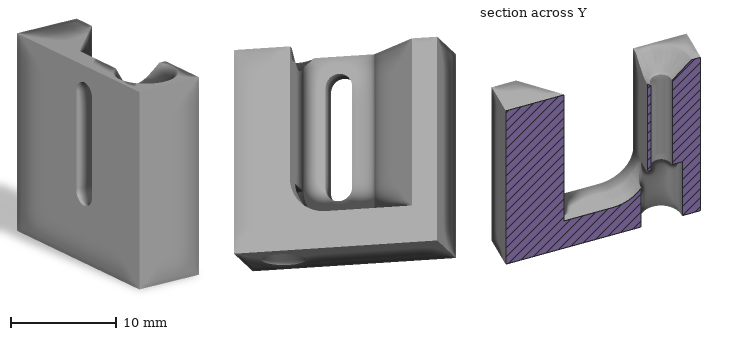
import cadquery as cq

side = 20.0
thickness = 7.0

pocket_front = 2.0
pocket_slope_start = 2.5
pocket_depth = thickness - pocket_front
pocket_slope_end = pocket_slope_start + pocket_depth
pocket_right = 14.5
corner_radius = 3.5

slot_x = pocket_right - corner_radius
slot_width = 2.6
slot_low_center = 7.1
slot_high_center = 17.0
pocket_floor = slot_low_center - corner_radius

hole_x = 16.0
hole_y = 3.6
hole_radius = 1.05
sink_radius = 3.05
sink_depth = sink_radius - hole_radius
bore_radius = 2.1
bore_depth = 7.0


def make_pocket():
    height = side - pocket_floor
    plan = (
        cq.Workplane("XY", origin=(0, 0, pocket_floor))
        .moveTo(pocket_slope_start, thickness)
        .lineTo(pocket_slope_end, pocket_front)
        .lineTo(pocket_right, pocket_front)
        .lineTo(pocket_right, thickness)
        .close()
        .extrude(height)
    )
    return plan.edges("|Y and >X and <Z").fillet(corner_radius)


def make_slot():
    slot_travel = slot_high_center - slot_low_center
    slot_middle = (slot_high_center + slot_low_center) / 2
    return (
        cq.Workplane("XZ", origin=(slot_x, 0, slot_middle))
        .slot2D(slot_travel + slot_width, slot_width, 90)
        .extrude(-thickness)
    )


def make_screw_hole():
    half_section = [
        (0, 0),
        (bore_radius, 0),
        (bore_radius, bore_depth),
        (hole_radius, bore_depth),
        (hole_radius, side - sink_depth),
        (sink_radius, side),
        (0, side),
    ]
    return (
        cq.Workplane("XZ")
        .polyline(half_section)
        .close()
        .revolve(360, (0, 0, 0), (0, 1, 0))
        .translate((hole_x, hole_y, 0))
    )


block = cq.Workplane("XY").box(side, thickness, side, centered=False)
result = block.cut(make_pocket()).cut(make_slot()).cut(make_screw_hole())